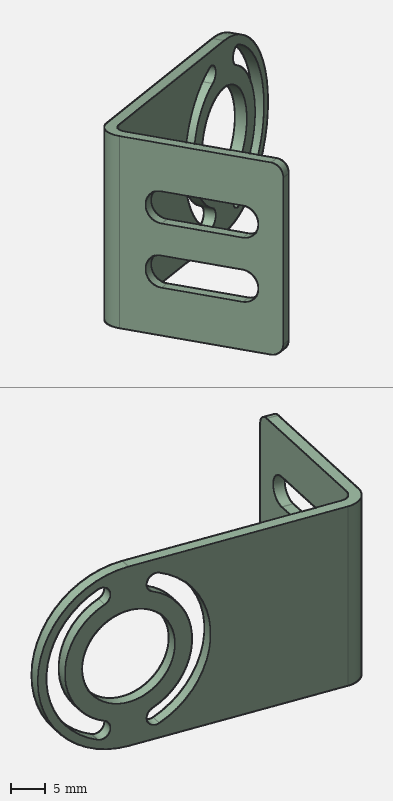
import cadquery as cq
import math

length = 55.0
width = 30.0
thickness = 1.9
bend_radius = 3.85
corner_radius = 2.0

slot_length = 18.0
slot_width = 5.0
slot_pitch = 10.0
slot_center_x = 17.0

bore_diameter = 15.3
arc_outer_radius = 13.55
arc_inner_radius = 10.5
arc_half_angle = 68.0

half_width = width / 2
disc_center_y = length - half_width
cut_depth = 2 * thickness


def bent_sheet():
    """L-shaped sheet with its outer corner at the origin, centered on Z."""
    inner_radius = bend_radius - thickness
    return (
        cq.Workplane("XY")
        .moveTo(0, disc_center_y)
        .lineTo(0, bend_radius)
        .radiusArc((bend_radius, 0), -bend_radius)
        .lineTo(width, 0)
        .lineTo(width, thickness)
        .lineTo(bend_radius, thickness)
        .radiusArc((thickness, bend_radius), inner_radius)
        .lineTo(thickness, disc_center_y)
        .close()
        .extrude(half_width, both=True)
    )


def long_leg_plane():
    """Sketch plane on X = 0 with local axes Y and Z, centered on the rounded end."""
    return cq.Workplane("YZ", origin=(0, disc_center_y, 0))


def arc_slot(side):
    """Arc slot about the bore with round ends; side is +1 or -1 along Y."""
    angle = math.radians(arc_half_angle)

    def polar(radius, direction):
        return (side * radius * math.cos(angle), direction * radius * math.sin(angle))

    mean_radius = (arc_outer_radius + arc_inner_radius) / 2
    cap_radius = (arc_outer_radius - arc_inner_radius) / 2
    band = (
        long_leg_plane()
        .moveTo(*polar(arc_outer_radius, -1))
        .threePointArc((side * arc_outer_radius, 0), polar(arc_outer_radius, 1))
        .lineTo(*polar(arc_inner_radius, 1))
        .threePointArc((side * arc_inner_radius, 0), polar(arc_inner_radius, -1))
        .close()
        .extrude(cut_depth)
    )
    caps = (
        long_leg_plane()
        .pushPoints([polar(mean_radius, 1), polar(mean_radius, -1)])
        .circle(cap_radius)
        .extrude(cut_depth)
    )
    return band.union(caps)


bracket = bent_sheet()

bracket = bracket.edges("|Y and >X").fillet(corner_radius)

bracket = bracket.union(long_leg_plane().circle(half_width).extrude(thickness))

bracket = bracket.cut(long_leg_plane().circle(bore_diameter / 2).extrude(cut_depth))
for side in (1, -1):
    bracket = bracket.cut(arc_slot(side))

straight_slots = (
    cq.Workplane("XZ", origin=(slot_center_x, 0, 0))
    .pushPoints([(0, slot_pitch / 2), (0, -slot_pitch / 2)])
    .slot2D(slot_length, slot_width)
    .extrude(-cut_depth)
)
result = bracket.cut(straight_slots)